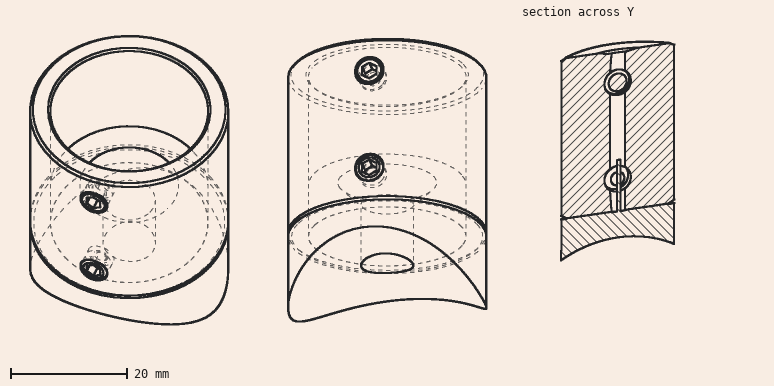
import cadquery as cq
import math

TOTAL_HEIGHT = 43.65
OUTER_DIAMETER = 34.2
OUTER_RADIUS = OUTER_DIAMETER / 2

SHOULDER_Z = 13.62
BORE_DIAMETER = 27.2
BORE_RADIUS = BORE_DIAMETER / 2
MOUTH_DIAMETER = 28.0
MOUTH_CHAMFER = (MOUTH_DIAMETER - BORE_DIAMETER) / 2
EDGE_CHAMFER = 0.5
BOTTOM_CHAMFER = 0.6

SADDLE_RADIUS = 21.18
SADDLE_AXIS_Z = -math.sqrt(SADDLE_RADIUS**2 - OUTER_RADIUS**2)
SPIGOT_DIAMETER = 27.1
SPIGOT_RADIUS = SPIGOT_DIAMETER / 2
SPIGOT_HEIGHT = 10.0
SPIGOT_FILLET = 0.5
SPIGOT_TOP_Z = SHOULDER_Z + SPIGOT_HEIGHT
BOLT_HOLE_DIAMETER = 9.0
COUNTERSINK_DIAMETER = 17.03
COUNTERSINK_ANGLE = 90.0

SCREW_HOLE_MOUTH_DIAMETER = 5.0
SCREW_HOLE_CHAMFER = 0.15
SCREW_RADIUS = SCREW_HOLE_MOUTH_DIAMETER / 2 - SCREW_HOLE_CHAMFER
SCREW_SPACING = 18.0
UPPER_SCREW_Z = TOTAL_HEIGHT - 6.0
LOWER_SCREW_Z = UPPER_SCREW_Z - SCREW_SPACING
UPPER_SCREW_LENGTH = 4.0
LOWER_SCREW_LENGTH = OUTER_RADIUS - SPIGOT_RADIUS
UPPER_FACE_DIAMETER = 4.2
LOWER_FACE_DIAMETER = 3.65
UPPER_FACE_ANGLE = 45.0
LOWER_FACE_ANGLE = 30.0
POINT_DIAMETER = 2.5
SOCKET_ACROSS_FLATS = 2.5
SOCKET_DEPTH = 3.0

SCREWS = [
    (UPPER_SCREW_Z, UPPER_SCREW_LENGTH, UPPER_FACE_DIAMETER, UPPER_FACE_ANGLE),
    (LOWER_SCREW_Z, LOWER_SCREW_LENGTH, LOWER_FACE_DIAMETER, LOWER_FACE_ANGLE),
]


def front_plane(height):
    """Plane touching the front of the sleeve, with its normal pointing into the part."""
    return cq.Plane(origin=(0, -OUTER_RADIUS, height), xDir=(1, 0, 0), normal=(0, 1, 0))


def screw_hole_mouth(height):
    """Selector for the outer edge of the screw hole at this height."""
    half_height = 1.5 * SCREW_RADIUS
    middle_of_wall = (OUTER_RADIUS + BORE_RADIUS) / 2
    return cq.selectors.BoxSelector(
        (-OUTER_RADIUS, -OUTER_RADIUS - SCREW_RADIUS, height - half_height),
        (OUTER_RADIUS, -middle_of_wall, height + half_height),
        boundingbox=True,
    )


def make_sleeve():
    """Tube with chamfered ends and one chamfered radial hole for each set screw."""
    sleeve = (
        cq.Workplane("XY", origin=(0, 0, SHOULDER_Z))
        .circle(OUTER_RADIUS)
        .extrude(TOTAL_HEIGHT - SHOULDER_Z)
        .faces(">Z").chamfer(EDGE_CHAMFER)
        .faces("<Z").chamfer(BOTTOM_CHAMFER)
        .faces(">Z").workplane().hole(BORE_DIAMETER)
        .faces(">Z").edges("%CIRCLE").edges(cq.selectors.RadiusNthSelector(0)).chamfer(MOUTH_CHAMFER)
    )
    for height, *_ in SCREWS:
        screw_hole = cq.Workplane(front_plane(height)).circle(SCREW_RADIUS).extrude(OUTER_RADIUS)
        sleeve = sleeve.cut(screw_hole)
        sleeve = sleeve.edges(screw_hole_mouth(height)).chamfer(SCREW_HOLE_CHAMFER)
    return sleeve


def make_base():
    """Round base, saddle-cut underneath, with a rounded spigot and a countersunk bolt hole."""
    spigot = (
        cq.Workplane("XY", origin=(0, 0, SHOULDER_Z))
        .circle(SPIGOT_RADIUS)
        .extrude(SPIGOT_HEIGHT)
        .faces(">Z").edges().fillet(SPIGOT_FILLET)
    )
    saddle_cut = (
        cq.Workplane("XZ", origin=(0, 0, SADDLE_AXIS_Z))
        .circle(SADDLE_RADIUS)
        .extrude(OUTER_RADIUS, both=True)
    )
    return (
        cq.Workplane("XY")
        .circle(OUTER_RADIUS)
        .extrude(SHOULDER_Z)
        .union(spigot)
        .cut(saddle_cut)
        .faces(">Z").workplane(origin=(0, 0, SPIGOT_TOP_Z))
        .cskHole(BOLT_HOLE_DIAMETER, COUNTERSINK_DIAMETER, COUNTERSINK_ANGLE)
    )


def make_set_screw(height, length, face_diameter, face_angle):
    """Headless screw along Y, with a bevelled face, a bevelled point and a hexagon socket."""
    face_radius = face_diameter / 2
    point_radius = POINT_DIAMETER / 2
    face_bevel = (SCREW_RADIUS - face_radius) * math.tan(math.radians(face_angle))
    point_bevel = SCREW_RADIUS - point_radius
    half_profile = [
        (0, 0),
        (face_radius, 0),
        (SCREW_RADIUS, face_bevel),
        (SCREW_RADIUS, length - point_bevel),
        (point_radius, length),
        (0, length),
    ]
    body = (
        cq.Workplane("XY", origin=(0, -OUTER_RADIUS, height))
        .polyline(half_profile)
        .close()
        .revolve(360, (0, 0), (0, 1))
    )
    across_corners = SOCKET_ACROSS_FLATS / math.cos(math.radians(30))
    socket = (
        cq.Workplane(front_plane(height))
        .transformed(rotate=(0, 0, 90))
        .polygon(6, across_corners)
        .extrude(SOCKET_DEPTH)
    )
    return body.cut(socket)


sleeve = make_sleeve()
base = make_base()
set_screws = [make_set_screw(*sizes).val() for sizes in SCREWS]

result = cq.Compound.makeCompound([sleeve.val(), base.val(), *set_screws])